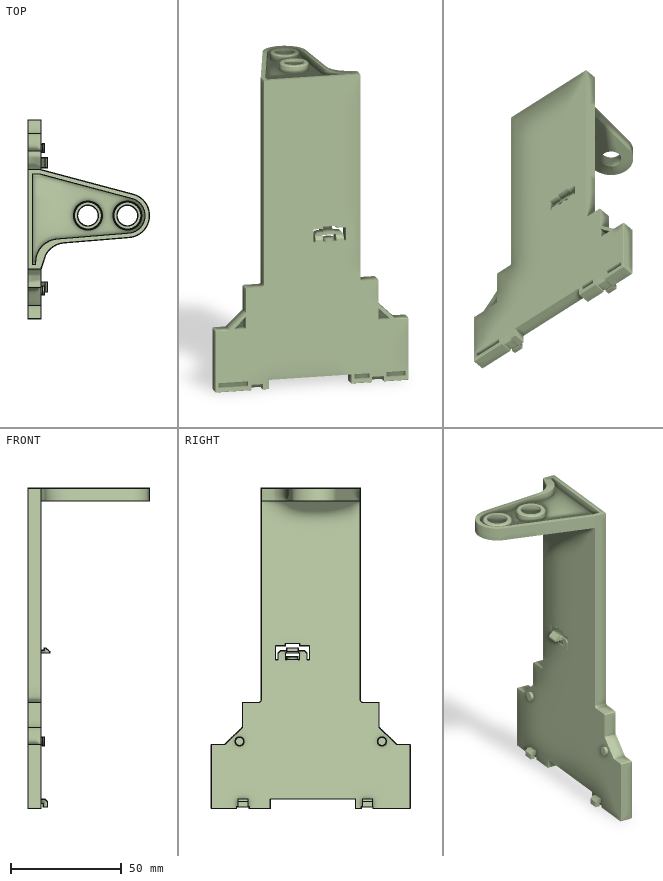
import cadquery as cq
import math

height = 145.0
plate_thickness = 6.0
column_half_width = 22.5
shoulder_half_width = 30.9
shoulder_top = 48.1
foot_half_width = 45.02
foot_top = 29.1
brace_half_width = 38.9
brace_top = 36.8
inner_corner_radius = 1.0
edge_radius = 0.5
back_edge_radius = 0.3

relief_left = 20.2
relief_right = -18.3
relief_height = 4.4

slot_depth = 2.0
brace_pocket_half_width = 36.5
brace_pocket_height = 5.5
brace_pocket_depth = 4.0
slot_spans = ((29.9, 43.6), (-26.7, -19.7), (-43.5, -34.7))
slot_bottom = 2.0
slot_top = 4.4

notch_spans = ((22.9, 28.1), (-33.5, -27.8))
notch_mouth = 2.6
notch_throat = 0.9
hook_starts = (23.3, -32.9)
hook_width = 4.6
hook_reach = 2.9
hook_finger = 2.0
hook_bottom = 0.7
hook_underside = 2.3
hook_top = 4.4
hook_chamfer = 1.2

peg_head_radius = 2.0
peg_neck_radius = 1.9
peg_length = 1.5
peg_head_length = 0.7
peg_y = 32.2
peg_z = 30.5

arm_thickness = plate_thickness
arm_length = 55.0
arm_tip_radius = 10.0
arm_axis_y = 1.7
arm_lower_slope = math.radians(4.7)
root_center_x = 17.1
root_radius = 10.3
root_sweep_end = math.radians(152)
rim_width = 2.0
tray_depth = 3.5
tray_root_x = 3.5
tray_root_radius = 10.5
boss_spacing = 17.8
boss_radius = 6.5
boss_chamfer = 0.5
bore_radius = 4.6

window_center_y = -8.3
window_width = 15.2
window_bottom = 67.4
window_top = 73.7
window_bump_width = 6.4
window_bump_top = 74.7
latch_width = 13.2
latch_ramp_bottom = 68.6
latch_ramp_top = 70.0
latch_top = 71.5
latch_corner = 1.2
latch_gap = 6.2
tongue_width = 5.4
tongue_bottom = 70.3
tongue_top = 71.8
tongue_reach = 3.9
barb_start = 1.3
barb_flat = 0.7
barb_top = 72.8
pad_radius = 2.6
pad_height = 1.3


def box(x_span, y_span, z_span):
    """Box between the given limits along each axis."""
    size = [high - low for low, high in (x_span, y_span, z_span)]
    return cq.Workplane("XY").box(*size, centered=False).translate((x_span[0], y_span[0], z_span[0]))


def extrude_across(points, y_start, width):
    """Prism with an X-Z outline, running along +Y from y_start."""
    return cq.Workplane("XZ", origin=(0, y_start, 0)).polyline(points).close().extrude(-width)


def round_corners(plate, half_width, z, radius):
    """Fillet the two plate corners at +-half_width and height z."""
    for y in (-half_width, half_width):
        around = cq.selectors.BoxSelector(
            (0, y - radius, z - radius),
            (plate_thickness, y + radius, z + radius),
        )
        plate = plate.edges(around).edges("|X").fillet(radius)
    return plate


def make_plate():
    half_outline = [
        (foot_half_width, 0),
        (foot_half_width, foot_top),
        (brace_half_width, foot_top),
        (shoulder_half_width, brace_top),
        (shoulder_half_width, shoulder_top),
        (column_half_width, shoulder_top),
        (column_half_width, height),
    ]
    mirrored = [(-y, z) for y, z in reversed(half_outline)]
    plate = cq.Workplane("YZ").polyline(half_outline + mirrored).close().extrude(plate_thickness)

    plate = round_corners(plate, column_half_width, shoulder_top, inner_corner_radius)
    plate = round_corners(plate, shoulder_half_width, shoulder_top, edge_radius)
    plate = round_corners(plate, foot_half_width, foot_top, edge_radius)
    plate = round_corners(plate, foot_half_width, 0, edge_radius)
    plate = plate.faces("<Y or >Y").edges("<X").fillet(back_edge_radius)
    return plate


def make_brace_pocket(side):
    points = [
        (side * shoulder_half_width, foot_top),
        (side * brace_pocket_half_width, foot_top),
        (side * shoulder_half_width, foot_top + brace_pocket_height),
    ]
    return cq.Workplane("YZ").polyline(points).close().extrude(brace_pocket_depth)


def make_notch(y_low, y_high):
    points = [
        (0, 0),
        (plate_thickness, 0),
        (plate_thickness, notch_throat),
        (notch_mouth - notch_throat, notch_throat),
        (0, notch_mouth),
    ]
    return extrude_across(points, y_low, y_high - y_low)


def make_hook(y_start):
    tip = plate_thickness + hook_reach
    points = [
        (plate_thickness, hook_underside),
        (tip - hook_finger, hook_underside),
        (tip - hook_finger, hook_bottom),
        (tip, hook_bottom),
        (tip, hook_top - hook_chamfer),
        (tip - hook_chamfer, hook_top),
        (plate_thickness, hook_top),
    ]
    return extrude_across(points, y_start, hook_width)


def make_peg(side):
    front = cq.Workplane("YZ", origin=(plate_thickness, side * peg_y, peg_z))
    neck = front.circle(peg_neck_radius).extrude(peg_length)
    head_plane = front.workplane(offset=peg_length - peg_head_length)
    head = head_plane.circle(peg_head_radius).extrude(peg_head_length)
    return neck.union(head)


def polar(center, radius, angle):
    return (center[0] + radius * math.cos(angle), center[1] + radius * math.sin(angle))


def arm_outline(z, inset, center_x, radius, sweep_end, foot_x):
    """Arm outline moved inwards by inset; the other values describe the concave root arc."""
    tip_center = (arm_length - arm_tip_radius, arm_axis_y)
    tip_radius = arm_tip_radius - inset
    half_width = column_half_width - inset

    run = plate_thickness - tip_center[0]
    rise = column_half_width - tip_center[1]
    upper_angle = math.atan2(rise, run) - math.acos(arm_tip_radius / math.hypot(run, rise))
    upper_tilt = math.pi / 2 - upper_angle
    corner_x = plate_thickness - inset * math.tan(upper_tilt / 2)

    lower = polar(tip_center, tip_radius, arm_lower_slope - math.pi / 2)
    lower_y = lower[1] + (center_x - lower[0]) * math.tan(arm_lower_slope)
    root_center = (center_x, lower_y - radius / math.cos(arm_lower_slope))
    sweep_start = math.pi / 2 + arm_lower_slope
    return (
        cq.Workplane("XY", origin=(0, 0, z))
        .moveTo(inset, -half_width)
        .lineTo(inset, half_width)
        .lineTo(corner_x, half_width)
        .lineTo(*polar(tip_center, tip_radius, upper_angle))
        .threePointArc((arm_length - inset, arm_axis_y), lower)
        .lineTo(*polar(root_center, radius, sweep_start))
        .threePointArc(
            polar(root_center, radius, (sweep_start + sweep_end) / 2),
            polar(root_center, radius, sweep_end),
        )
        .lineTo(foot_x, -half_width)
        .close()
    )


def make_arm():
    outline = arm_outline(
        height - arm_thickness, 0, root_center_x, root_radius, root_sweep_end, plate_thickness
    )
    return outline.extrude(arm_thickness)


def make_tray():
    """Recess in the top of the arm; its root arc runs on into a straight wall along Y."""
    center_x = tray_root_x + tray_root_radius
    outline = arm_outline(
        height - tray_depth, rim_width, center_x, tray_root_radius, math.pi, tray_root_x
    )
    return outline.extrude(tray_depth)


def make_arm_cylinders(radius):
    """Upright cylinders through the arm, one on each boss axis."""
    far_x = arm_length - arm_tip_radius
    centers = [(far_x - boss_spacing, arm_axis_y), (far_x, arm_axis_y)]
    plane = cq.Workplane("XY", origin=(0, 0, height - arm_thickness))
    return plane.pushPoints(centers).circle(radius).extrude(arm_thickness)


def centered_block(width, z_low, z_high):
    """Block through the plate, centred on the window."""
    y_span = (window_center_y - width / 2, window_center_y + width / 2)
    return box((0, plate_thickness), y_span, (z_low, z_high))


def make_window():
    opening = centered_block(window_width, window_bottom, window_top)
    bump = centered_block(window_bump_width, window_bottom, window_bump_top)
    return opening.union(bump)


def make_latch():
    ramp_depth = latch_ramp_top - latch_ramp_bottom
    wing_points = [
        (0, window_bottom),
        (0, latch_ramp_bottom),
        (ramp_depth, latch_ramp_top),
        (ramp_depth, latch_top),
        (plate_thickness, latch_top),
        (plate_thickness, window_bottom),
    ]
    latch = extrude_across(wing_points, window_center_y - latch_width / 2, latch_width)
    latch = latch.faces(">Z").edges("|X").chamfer(latch_corner)
    latch = latch.cut(centered_block(latch_gap, window_bottom, tongue_bottom))

    tip = plate_thickness + tongue_reach
    tongue_points = [
        (ramp_depth, tongue_bottom),
        (tip, tongue_bottom),
        (tip, tongue_top - barb_flat),
        (plate_thickness + barb_start + barb_flat, barb_top),
        (plate_thickness + barb_start, barb_top),
        (plate_thickness + barb_start, tongue_top),
        (ramp_depth, tongue_top),
    ]
    latch = latch.union(extrude_across(tongue_points, window_center_y - tongue_width / 2, tongue_width))

    pad = cq.Workplane("XY", origin=(plate_thickness / 2, window_center_y, window_bottom))
    return latch.union(pad.circle(pad_radius).extrude(pad_height))


result = make_plate().union(make_arm()).cut(make_tray())
bosses = make_arm_cylinders(boss_radius).faces(">Z").edges().chamfer(boss_chamfer)
result = result.union(bosses).cut(make_arm_cylinders(bore_radius))

result = result.cut(box((0, plate_thickness), (relief_right, relief_left), (0, relief_height)))
for y_low, y_high in slot_spans:
    result = result.cut(box((0, slot_depth), (y_low, y_high), (slot_bottom, slot_top)))
for y_low, y_high in notch_spans:
    result = result.cut(make_notch(y_low, y_high))
for y_start in hook_starts:
    result = result.union(make_hook(y_start))
for side in (-1, 1):
    result = result.cut(make_brace_pocket(side)).union(make_peg(side))
result = result.cut(make_window()).union(make_latch())